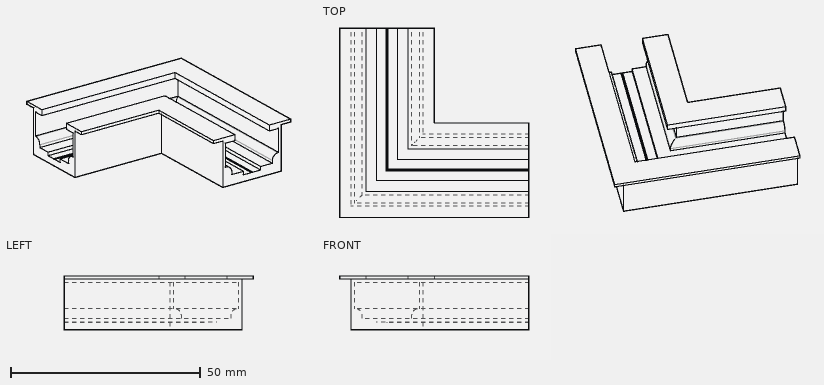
import cadquery as cq

arm_length = 50.0
total_height = 14.22

profile_width = 25.0
flange_overhang = 3.0
flange_thickness = 0.86
wall_thickness = 0.9
mouth_width = 11.15
lip_depth = 1.7
floor_height = 3.0
shoulder_width = 2.05
shoulder_height = 5.6
shoulder_radius = 1.8
groove_width = 5.54
groove_depth = 1.0
center_groove_width = 0.5
center_groove_depth = 0.1

middle = profile_width / 2
half_body = middle - flange_overhang
half_cavity = half_body - wall_thickness
half_floor = half_cavity - shoulder_width
groove_floor_height = floor_height - groove_depth


def l_prism(start, end, bottom, top):
    """L-shaped bar filling the arm from offset `start` to `end`, mitred at the corner."""
    outline = [
        (start, start),
        (arm_length, start),
        (arm_length, end),
        (end, end),
        (end, arm_length),
        (start, arm_length),
    ]
    return cq.Workplane("XY").workplane(offset=bottom).polyline(outline).close().extrude(top - bottom)


def centered_bar(half_width, bottom, top):
    """L-shaped bar placed symmetrically about the centre line of the arm."""
    return l_prism(middle - half_width, middle + half_width, bottom, top)


def mitred_cutter(section):
    """Extend an XZ section along both arms, meeting in a mitre on the diagonal."""
    arm_y = section.extrude(-arm_length)
    diagonal_half = (
        cq.Workplane("XY").polyline([(0, 0), (arm_length, arm_length), (0, arm_length)]).close()
        .extrude(total_height)
    )
    arm_y = arm_y.intersect(diagonal_half)
    arm_x = arm_y.mirror("YZ").rotate((0, 0, 0), (0, 0, 1), -90)
    return arm_y.union(arm_x)


def make_body():
    flange_bottom = total_height - flange_thickness
    body = centered_bar(half_body, 0, flange_bottom)
    return body.union(l_prism(0, profile_width, flange_bottom, total_height))


def make_cavity():
    """Undercut channel with rounded shoulders flanking its floor."""
    lip_bottom = total_height - lip_depth
    shoulder_tangent = half_floor + shoulder_radius
    arc_start = shoulder_height - shoulder_radius
    section = (
        cq.Workplane("XZ")
        .moveTo(middle - half_floor, floor_height)
        .lineTo(middle + half_floor, floor_height)
        .lineTo(middle + half_floor, arc_start)
        .radiusArc((middle + shoulder_tangent, shoulder_height), shoulder_radius)
        .lineTo(middle + half_cavity, shoulder_height)
        .lineTo(middle + half_cavity, lip_bottom)
        .lineTo(middle - half_cavity, lip_bottom)
        .lineTo(middle - half_cavity, shoulder_height)
        .lineTo(middle - shoulder_tangent, shoulder_height)
        .radiusArc((middle - half_floor, arc_start), shoulder_radius)
        .close()
    )
    mouth = centered_bar(mouth_width / 2, lip_bottom, total_height)
    return mitred_cutter(section).union(mouth)


def make_floor_grooves():
    """Flat groove in the floor with a fine V-groove along its centre line."""
    groove = centered_bar(groove_width / 2, groove_floor_height, floor_height)
    v_section = (
        cq.Workplane("XZ")
        .moveTo(middle - center_groove_width / 2, groove_floor_height)
        .lineTo(middle + center_groove_width / 2, groove_floor_height)
        .lineTo(middle, groove_floor_height - center_groove_depth)
        .close()
    )
    return groove.union(mitred_cutter(v_section))


result = make_body().cut(make_cavity()).cut(make_floor_grooves())